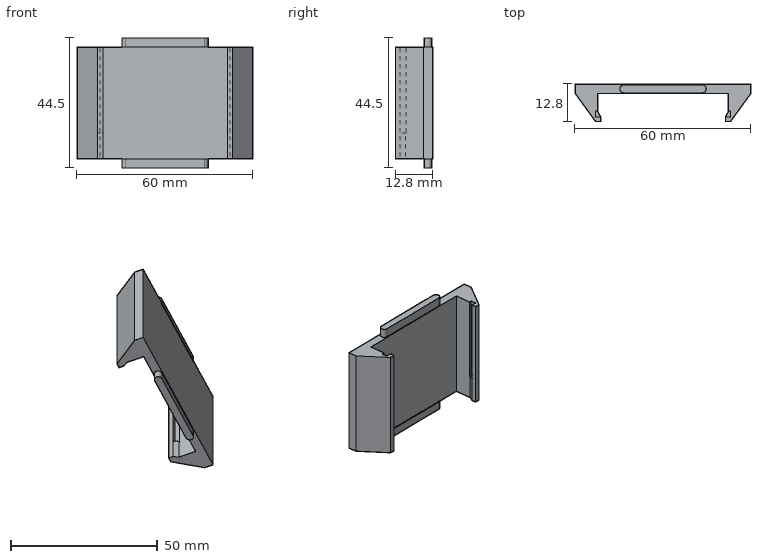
import cadquery as cq

width = 60.0
depth = 12.8
body_height = 38.1
plate_thickness = 3.2

arm_thickness = 7.75
lip_inset = 8.75
tip_inset = 6.95
ramp_start = 9.35
ramp_end = 11.15

groove_inset = 6.9
groove_start = 9.2
groove_end = 11.15
groove_floor = 8.75

tongue_width = 29.5
tongue_thickness = 2.65
total_height = 44.45

half_width = width / 2
half_height = body_height / 2
back = depth / 2


def make_body():
    """Symmetric clip profile, drawn from the back face to the hooked tip."""
    half_profile = [
        (0, back),
        (half_width, back),
        (half_width, back - plate_thickness),
        (half_width - tip_inset, back - depth),
        (half_width - lip_inset, back - depth),
        (half_width - lip_inset, back - ramp_end),
        (half_width - arm_thickness, back - ramp_start),
        (half_width - arm_thickness, back - plate_thickness),
        (0, back - plate_thickness),
    ]
    half = (
        cq.Workplane("XY")
        .workplane(offset=-half_height)
        .polyline(half_profile)
        .close()
        .extrude(body_height)
    )
    return half.union(half.mirror("YZ"))


def make_groove(side):
    """Cutter for the groove in one arm; side is +1 or -1 along X."""
    groove_width = lip_inset - groove_inset
    groove_center_x = side * (half_width - groove_inset - groove_width / 2)
    groove_center_y = back - (groove_start + groove_end) / 2
    return (
        cq.Workplane("XY")
        .workplane(offset=groove_floor - half_height)
        .center(groove_center_x, groove_center_y)
        .rect(groove_width, groove_end - groove_start)
        .extrude(body_height - groove_floor)
    )


def make_tongue():
    """Round-ended bar centred in the thickness of the back plate."""
    return (
        cq.Workplane("XY")
        .workplane(offset=-total_height / 2)
        .center(0, back - plate_thickness / 2)
        .slot2D(tongue_width, tongue_thickness)
        .extrude(total_height)
    )


result = make_body()
for arm_side in (-1, 1):
    result = result.cut(make_groove(arm_side))
result = result.union(make_tongue())